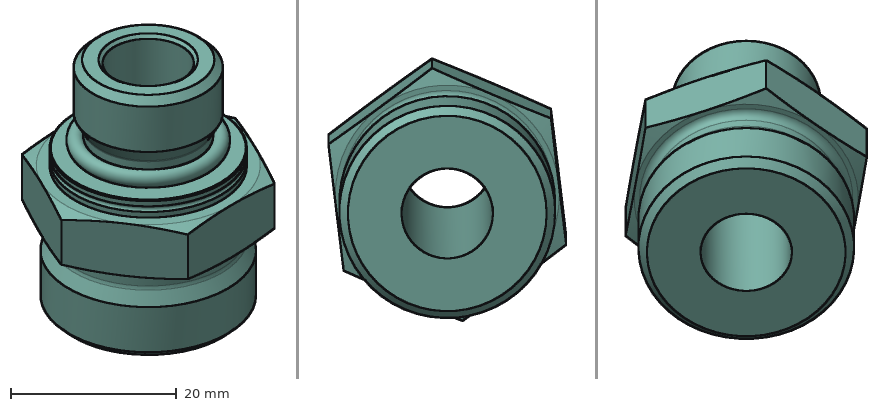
import cadquery as cq
import math

HEIGHT = 34.5
BORE_DIAMETER = 11.0
BORE_CHAMFER = 0.5

LOWER_THREAD_RADIUS = 26.0 / 2
LOWER_NECK_RADIUS = 23.7 / 2
LOWER_CONE_BASE_Z = 7.45
LOWER_CONE_FILLET = 1.0

HEX_ACROSS_FLATS = 27.0
HEX_BOTTOM_Z = 12.05
HEX_TOP_Z = 19.5
HEX_CHAMFER_ANGLE = 15.0
HEX_FILLET = 1.0

COLLAR_RADIUS = 23.8 / 2
COLLAR_TOP_Z = 21.98
COLLAR_CHAMFER = 0.15
COLLAR_GROOVE_Z = 20.7
COLLAR_GROOVE_WIDTH = 0.8
COLLAR_GROOVE_DEPTH = 0.25

UPPER_THREAD_RADIUS = 18.0 / 2
UPPER_NECK_RADIUS = 15.7 / 2
UPPER_CONE_TOP_Z = 27.0
UPPER_CONE_FILLET = 0.4

THREAD_CHAMFER = 1.05
CONE_ANGLE = 30.0

RING_OUTER_RADIUS = 19.75 / 2
RING_SECTION_RADIUS = 2.2 / 2
RING_CENTRE_RADIUS = RING_OUTER_RADIUS - RING_SECTION_RADIUS
RING_CENTRE_Z = COLLAR_TOP_Z + RING_SECTION_RADIUS


def cone_height(large_radius, small_radius):
    return (large_radius - small_radius) / math.tan(math.radians(CONE_ANGLE))


def fillet_circle_at(solid, radius, z, size):
    """Fillet the circular edge lying at the given radius and height."""
    margin = 0.005
    edges = solid.edges(
        cq.selectors.BoxSelector(
            (-radius - margin, -radius - margin, z - margin),
            (radius + margin, radius + margin, z + margin),
            boundingbox=True,
        )
    )
    return edges.fillet(size)


def make_lower_end():
    """Chamfered thread, cone and neck reaching up to the hexagon."""
    neck_z = LOWER_CONE_BASE_Z + cone_height(LOWER_THREAD_RADIUS, LOWER_NECK_RADIUS)
    profile = (
        cq.Workplane("XZ")
        .lineTo(LOWER_THREAD_RADIUS - THREAD_CHAMFER, 0)
        .lineTo(LOWER_THREAD_RADIUS, THREAD_CHAMFER)
        .lineTo(LOWER_THREAD_RADIUS, LOWER_CONE_BASE_Z)
        .lineTo(LOWER_NECK_RADIUS, neck_z)
        .lineTo(LOWER_NECK_RADIUS, HEX_BOTTOM_Z)
        .lineTo(0, HEX_BOTTOM_Z)
        .close()
    )
    body = profile.revolve(360, (0, 0), (0, 1))
    return fillet_circle_at(body, LOWER_NECK_RADIUS, neck_z, LOWER_CONE_FILLET)


def make_hexagon():
    """Hexagon with corners on the Y axis, both ends turned to a shallow cone."""
    flat_radius = HEX_ACROSS_FLATS / 2
    corner_radius = flat_radius / math.cos(math.pi / 6)
    corner_drop = (corner_radius - flat_radius) * math.tan(math.radians(HEX_CHAMFER_ANGLE))
    prism = (
        cq.Workplane("XY", origin=(0, 0, HEX_BOTTOM_Z))
        .polygon(6, 2 * corner_radius)
        .extrude(HEX_TOP_Z - HEX_BOTTOM_Z)
        .rotate((0, 0, 0), (0, 0, 1), 30)
    )
    envelope = (
        cq.Workplane("XZ")
        .moveTo(0, HEX_BOTTOM_Z)
        .lineTo(flat_radius, HEX_BOTTOM_Z)
        .lineTo(corner_radius, HEX_BOTTOM_Z + corner_drop)
        .lineTo(corner_radius, HEX_TOP_Z - corner_drop)
        .lineTo(flat_radius, HEX_TOP_Z)
        .lineTo(0, HEX_TOP_Z)
        .close()
        .revolve(360, (0, 0), (0, 1))
    )
    return prism.intersect(envelope)


def make_collar():
    """Collar with a shallow rounded groove around its rim."""
    half_width = COLLAR_GROOVE_WIDTH / 2
    return (
        cq.Workplane("XZ")
        .moveTo(0, HEX_TOP_Z)
        .lineTo(COLLAR_RADIUS, HEX_TOP_Z)
        .lineTo(COLLAR_RADIUS, COLLAR_GROOVE_Z - half_width)
        .threePointArc(
            (COLLAR_RADIUS - COLLAR_GROOVE_DEPTH, COLLAR_GROOVE_Z),
            (COLLAR_RADIUS, COLLAR_GROOVE_Z + half_width),
        )
        .lineTo(COLLAR_RADIUS, COLLAR_TOP_Z - COLLAR_CHAMFER)
        .lineTo(COLLAR_RADIUS - COLLAR_CHAMFER, COLLAR_TOP_Z)
        .lineTo(0, COLLAR_TOP_Z)
        .close()
        .revolve(360, (0, 0), (0, 1))
    )


def make_upper_end():
    """Neck, cone and chamfered thread above the collar."""
    neck_z = UPPER_CONE_TOP_Z - cone_height(UPPER_THREAD_RADIUS, UPPER_NECK_RADIUS)
    body = (
        cq.Workplane("XZ")
        .moveTo(0, COLLAR_TOP_Z)
        .lineTo(UPPER_NECK_RADIUS, COLLAR_TOP_Z)
        .lineTo(UPPER_NECK_RADIUS, neck_z)
        .lineTo(UPPER_THREAD_RADIUS, UPPER_CONE_TOP_Z)
        .lineTo(UPPER_THREAD_RADIUS, HEIGHT - THREAD_CHAMFER)
        .lineTo(UPPER_THREAD_RADIUS - THREAD_CHAMFER, HEIGHT)
        .lineTo(0, HEIGHT)
        .close()
        .revolve(360, (0, 0), (0, 1))
    )
    return fillet_circle_at(body, UPPER_NECK_RADIUS, neck_z, UPPER_CONE_FILLET)


def make_bore():
    """Through bore, with a chamfer at the upper mouth."""
    radius = BORE_DIAMETER / 2
    return (
        cq.Workplane("XZ")
        .lineTo(radius, 0)
        .lineTo(radius, HEIGHT - BORE_CHAMFER)
        .lineTo(radius + BORE_CHAMFER, HEIGHT)
        .lineTo(0, HEIGHT)
        .close()
        .revolve(360, (0, 0), (0, 1))
    )


def make_ring():
    """O-ring: a plain torus around the upper neck."""
    torus = cq.Solid.makeTorus(RING_CENTRE_RADIUS, RING_SECTION_RADIUS, cq.Vector(0, 0, RING_CENTRE_Z))
    return cq.Workplane(torus)


def make_fitting():
    """One-piece fitting, with a seat in the upper neck that matches the O-ring."""
    body = make_lower_end().union(make_hexagon()).union(make_collar()).union(make_upper_end())
    body = fillet_circle_at(body, LOWER_NECK_RADIUS, HEX_BOTTOM_Z, HEX_FILLET)
    return body.cut(make_bore()).cut(make_ring()).solids()


fitting = make_fitting()
o_ring = make_ring()
result = cq.Compound.makeCompound([fitting.val(), o_ring.val()])